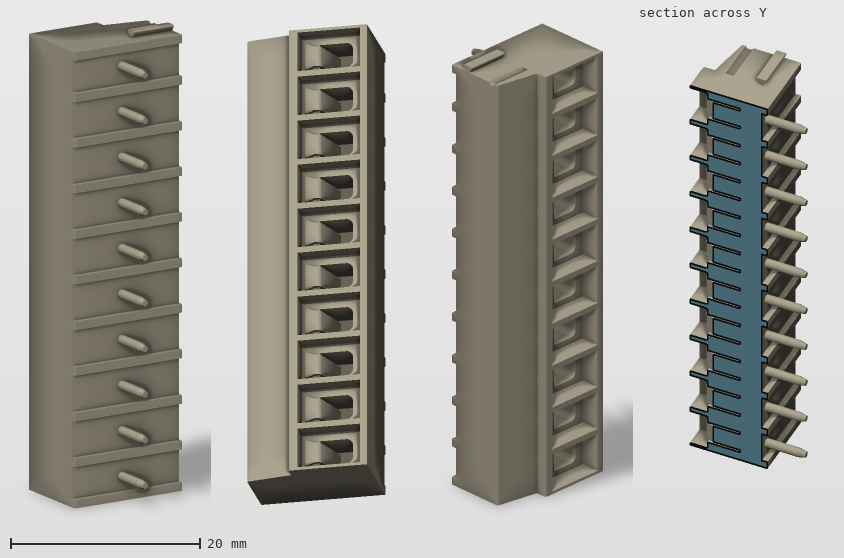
import cadquery as cq
import math


pole_count = 10
overall_length = 50.7
row_length = 49.95
pole_pitch = row_length / pole_count

body_depth = 8.4
body_height = 13.5
shoulder_height = 8.5
slope_foot_x = 1.3
slope_top_x = 2.2
edge_radius = 0.25

rib_height = 0.65
rib_thickness = 0.9
rib_end_radius = 0.1
rib_back_x = body_depth + rib_height

rail_center_x = 6.75
rail_height = overall_length - row_length
rail_lip = 0.2
rail_crest_width = 1.2
rail_crest_radius = 0.15
rail_base_width = 0.6
groove_center_x = 3.05
groove_radius = 0.5
groove_axis_rise = 0.2

pocket_low_y = 0.75
pocket_high_y = 7.5
pocket_length = 4.35
pocket_depth = 2.1
pocket_floor_radius = 0.28
pocket_end_bevel = 0.1
pocket_straight_depth = pocket_depth - pocket_floor_radius

clamp_face_x = 1.65
clamp_high_y = pocket_high_y - pocket_floor_radius
clamp_roll_radius = pocket_depth - clamp_face_x
funnel_y = clamp_high_y - clamp_roll_radius
neck_y = 6.15
clamp_length = 2.85
neck_length = 2.25
bend_start_y = 5.85
bend_radius = 0.5
ramp_angle = math.radians(72)
ramp_foot_y = 4.1
bend_end_x = clamp_face_x + bend_radius * (1 - math.cos(ramp_angle))
bend_end_y = bend_start_y - bend_radius * math.sin(ramp_angle)

hole_low_y = 2.0
hole_high_y = 5.5
hole_length = 2.75
hole_radius = 0.7
hole_floor_x = bend_end_x + (bend_end_y - ramp_foot_y) * math.tan(ramp_angle)

pin_y = 6.3
pin_radius = 0.5
pin_tip_radius = 0.33
pin_shoulder_x = 12.25
pin_end_x = 13.1


def box(x_range, y_range, z_range):
    sizes = [high - low for low, high in (x_range, y_range, z_range)]
    corner = (x_range[0], y_range[0], z_range[0])
    return cq.Workplane("XY").box(*sizes, centered=False).translate(corner)


def make_housing():
    outline = [
        (0, 0),
        (body_depth, 0),
        (body_depth, body_height),
        (slope_top_x, body_height),
        (slope_foot_x, shoulder_height),
        (0, shoulder_height),
    ]
    housing = cq.Workplane("XY").polyline(outline).close().extrude(row_length)
    for x, y in ((0, shoulder_height), (slope_top_x, body_height)):
        edge = cq.NearestToPointSelector((x, y, row_length / 2))
        housing = housing.edges(edge).fillet(edge_radius)
    return housing


def make_ribs():
    """Stand-off ribs between the poles and flush with both ends of the row."""
    ribs = cq.Workplane("XY")
    last_start = row_length - rib_thickness
    for boundary in range(pole_count + 1):
        start = boundary * pole_pitch - rib_thickness / 2
        start = min(max(start, 0), last_start)
        rib = box((body_depth, rib_back_x), (0, body_height), (start, start + rib_thickness))
        ribs = ribs.union(rib.edges("|Z and >X").fillet(rib_end_radius))
    return ribs


def make_rail():
    """Dovetail rail on the end face, above the shoulder."""
    half_base = rail_base_width / 2
    half_crest = rail_crest_width / 2
    lip_z = rail_height - rail_lip
    profile = [
        (-half_base, 0),
        (half_base, 0),
        (half_crest, lip_z),
        (half_crest, rail_height),
        (-half_crest, rail_height),
        (-half_crest, lip_z),
    ]
    rail = cq.Workplane("XZ").polyline(profile).close().extrude(shoulder_height - body_height)
    rail = rail.faces(">Z").edges("|Y").fillet(rail_crest_radius)
    return rail.translate((rail_center_x, shoulder_height, row_length))


def make_groove():
    """Shallow round groove in the end face, above the shoulder."""
    groove = cq.Workplane("XZ").circle(groove_radius).extrude(shoulder_height - body_height)
    return groove.translate((groove_center_x, shoulder_height, row_length + groove_axis_rise))


def make_pocket():
    """Wire-entry pocket with bevelled ends and rounded long floor edges, centred on Z = 0."""
    half_mouth = pocket_length / 2
    half_floor = half_mouth - pocket_end_bevel
    section = [
        (0, -half_mouth),
        (0, half_mouth),
        (pocket_straight_depth, half_mouth),
        (pocket_depth, half_floor),
        (pocket_depth, -half_floor),
        (pocket_straight_depth, -half_mouth),
    ]
    pocket = cq.Workplane("XZ").polyline(section).close().extrude(pocket_low_y - pocket_high_y)
    pocket = pocket.translate((0, pocket_low_y, 0))
    return pocket.faces(">X").edges("|Z").fillet(pocket_floor_radius)


def make_wire_hole():
    """Wire hole with rounded lower corners, starting at the pocket floor."""
    half_length = hole_length / 2
    hole = box((pocket_depth, hole_floor_x), (hole_low_y, hole_high_y), (-half_length, half_length))
    return hole.edges("|X and <Y").fillet(hole_radius)


def make_clamp():
    """Clamp tongue with a funnel-shaped plan and a rolled side profile, centred on Z = 0."""
    half_clamp = clamp_length / 2
    half_neck = neck_length / 2
    plan = [
        (clamp_high_y, -half_clamp),
        (clamp_high_y, half_clamp),
        (funnel_y, half_clamp),
        (neck_y, half_neck),
        (ramp_foot_y, half_neck),
        (ramp_foot_y, -half_neck),
        (neck_y, -half_neck),
        (funnel_y, -half_clamp),
    ]
    plan_prism = cq.Workplane("YZ").polyline(plan).close().extrude(hole_floor_x)

    roll_offset = clamp_roll_radius * math.sqrt(0.5)
    bend_middle_x = clamp_face_x + bend_radius * (1 - math.cos(ramp_angle / 2))
    bend_middle_y = bend_start_y - bend_radius * math.sin(ramp_angle / 2)
    side_profile = (
        cq.Workplane("XY")
        .moveTo(pocket_depth, clamp_high_y)
        .threePointArc(
            (pocket_depth - roll_offset, funnel_y + roll_offset),
            (clamp_face_x, funnel_y),
        )
        .lineTo(clamp_face_x, bend_start_y)
        .threePointArc((bend_middle_x, bend_middle_y), (bend_end_x, bend_end_y))
        .lineTo(hole_floor_x, ramp_foot_y)
        .lineTo(hole_floor_x, clamp_high_y)
        .close()
        .extrude(clamp_length, both=True)
    )
    return plan_prism.intersect(side_profile)


def make_pole_cavity():
    return make_pocket().union(make_wire_hole()).cut(make_clamp())


def make_pin():
    """Round solder pin with a tapered tip, centred on Z = 0."""
    half_profile = [
        (body_depth, 0),
        (body_depth, pin_radius),
        (pin_shoulder_x, pin_radius),
        (pin_end_x, pin_tip_radius),
        (pin_end_x, 0),
    ]
    pin = cq.Workplane("XY").polyline(half_profile).close().revolve(360, (0, 0), (1, 0))
    return pin.translate((0, pin_y, 0))


body = make_housing().union(make_ribs())
body = body.cut(make_groove()).union(make_rail())

cavity = make_pole_cavity()
pin = make_pin()
for pole in range(pole_count):
    pole_center = (0, 0, (pole + 0.5) * pole_pitch)
    body = body.cut(cavity.translate(pole_center))
    body = body.union(pin.translate(pole_center))

result = body